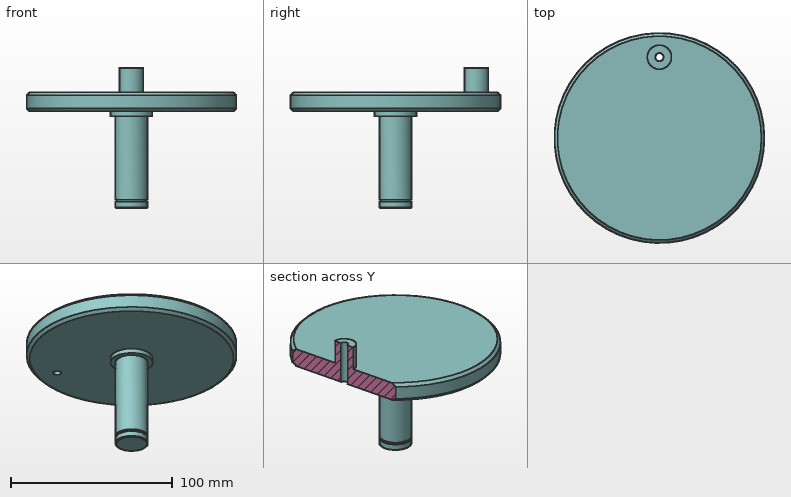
import cadquery as cq

disc_diameter = 130.0
disc_thickness = 12.0
disc_chamfer = 2.0

pin_diameter = 15.0
pin_height = 15.0
pin_offset = 50.0
pin_hole_diameter = 5.0

collar_diameter = 26.0
collar_height = 3.0
shaft_diameter = 20.0
shaft_chamfer = 0.5
groove_diameter = 18.3
groove_width = 1.2
groove_to_end = 4.0
total_height = 86.7
shaft_end_z = pin_height + disc_thickness - total_height


def cylinder(diameter, bottom_z, top_z, y=0.0):
    """Vertical cylinder between two heights, centred on x = 0."""
    return (
        cq.Workplane("XY", origin=(0, y, bottom_z))
        .circle(diameter / 2)
        .extrude(top_z - bottom_z)
    )


def make_disc():
    disc = cylinder(disc_diameter, 0, disc_thickness)
    return disc.edges().chamfer(disc_chamfer)


def make_shaft():
    shaft = cylinder(shaft_diameter, shaft_end_z, 0)
    shaft = shaft.faces("<Z").edges().chamfer(shaft_chamfer)
    groove_bottom_z = shaft_end_z + groove_to_end
    groove_top_z = groove_bottom_z + groove_width
    ring = cylinder(shaft_diameter, groove_bottom_z, groove_top_z).cut(
        cylinder(groove_diameter, groove_bottom_z, groove_top_z)
    )
    return shaft.cut(ring)


collar = cylinder(collar_diameter, -collar_height, 0)
pin_top_z = disc_thickness + pin_height
pin = cylinder(pin_diameter, disc_thickness, pin_top_z, pin_offset)
pin_hole = cylinder(pin_hole_diameter, 0, pin_top_z, pin_offset)

result = make_disc().union(make_shaft()).union(collar).union(pin).cut(pin_hole)